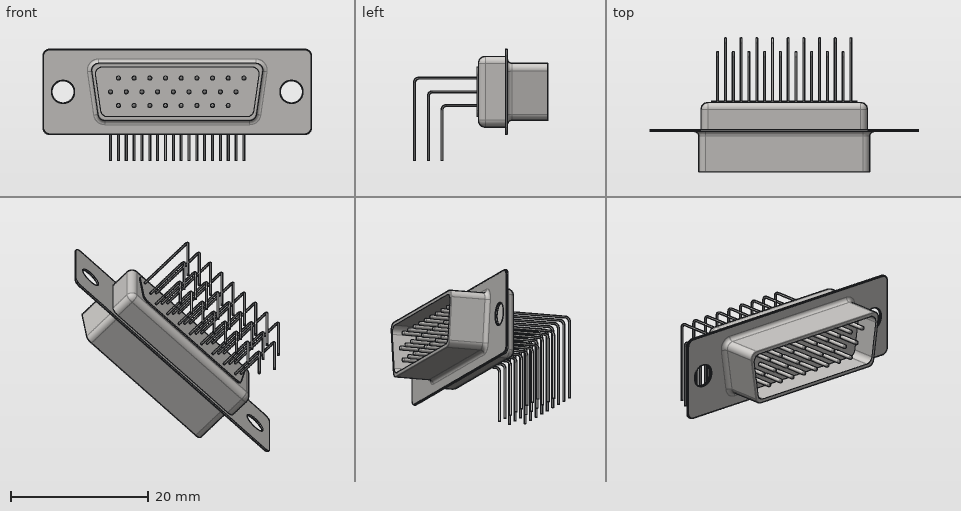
import cadquery as cq
import math


PLATE_WIDTH = 39.2
PLATE_HEIGHT = 12.45
PLATE_THICKNESS = 0.3
PLATE_CORNER_RADIUS = 1.0
PLATE_EDGE_BREAK = 0.098
HOLE_DIAMETER = 3.2
HOLE_SPACING = 33.32

SHELL_WIDTH = 24.97
SHELL_HEIGHT = 8.35
SHELL_LENGTH = 5.88
SHELL_SLANT = math.radians(8.2)
SHELL_CORNER_RADIUS = 1.0
SHELL_WALL = 0.55
CAVITY_DEPTH = 3.72
SHELL_RIM_ROUND = 0.08
SHELL_ROOT_RADIUS = 0.63

REAR_WIDTH = 24.3
REAR_HEIGHT = 10.35
REAR_LENGTH = 3.95
REAR_CORNER_RADIUS = 1.05
REAR_EDGE_RADIUS = 1.0
PAD_WIDTH = 21.25
PAD_HEIGHT = SHELL_HEIGHT - 2 * SHELL_WALL
PAD_THICKNESS = 0.2

CONTACTS_PER_LONG_ROW = 9
LONG_ROW_SPAN = 18.3
CONTACT_PITCH = LONG_ROW_SPAN / (CONTACTS_PER_LONG_ROW - 1)
ROW_PITCH = 2.0
CONTACT_DIAMETER = 0.6
CONTACT_TIP_ROUND = 0.2
CONTACT_TIP_Y = -5.55
TAIL_DIAMETER = 0.3
TAIL_BEND_RADIUS = 0.63
TAIL_BOTTOM_Z = -10.05
TOP_ROW_TAIL_Y = 13.55

REAR_BACK_Y = PLATE_THICKNESS + REAR_LENGTH
PAD_BACK_Y = REAR_BACK_Y + PAD_THICKNESS

LEFT_START_X = -LONG_ROW_SPAN / 2 - CONTACT_PITCH / 4
RIGHT_START_X = LEFT_START_X + CONTACT_PITCH / 2

CONTACT_ROWS = [
    (ROW_PITCH, RIGHT_START_X, CONTACTS_PER_LONG_ROW),
    (0.0, LEFT_START_X, CONTACTS_PER_LONG_ROW),
    (-ROW_PITCH, RIGHT_START_X, CONTACTS_PER_LONG_ROW - 1),
]


def front_plane(y):
    """Sketch plane at depth y, with local x along X, local y along Z, extruding toward -Y."""
    return cq.Workplane("XZ", origin=(0, y, 0))


def d_prism(width, height, y, length):
    """Prism running from y toward -Y; width is the overall width across the rounded top corners."""
    slant = SHELL_SLANT
    radius = SHELL_CORNER_RADIUS
    overhang = radius * ((1 + math.sin(slant)) / math.cos(slant) - 1)
    top_half = width / 2 + overhang
    bottom_half = top_half - height * math.tan(slant)
    outline = [
        (-top_half, height / 2),
        (top_half, height / 2),
        (bottom_half, -height / 2),
        (-bottom_half, -height / 2),
    ]
    return front_plane(y).polyline(outline).close().extrude(length).edges("|Y").fillet(radius)


def mounting_plate():
    """Flange with two screw holes; its outline and holes are chamfered on the front face."""
    plate = (
        front_plane(PLATE_THICKNESS)
        .rect(PLATE_WIDTH, PLATE_HEIGHT)
        .extrude(PLATE_THICKNESS)
        .edges("|Y")
        .fillet(PLATE_CORNER_RADIUS)
    )
    holes = (
        front_plane(PLATE_THICKNESS)
        .pushPoints([(-HOLE_SPACING / 2, 0), (HOLE_SPACING / 2, 0)])
        .circle(HOLE_DIAMETER / 2)
        .extrude(PLATE_THICKNESS)
    )
    return plate.cut(holes).faces("<Y").edges().chamfer(PLATE_EDGE_BREAK)


def rear_housing():
    """Rounded block behind the plate, with the D-shaped insulator pad on its back."""
    housing = (
        front_plane(REAR_BACK_Y)
        .rect(REAR_WIDTH, REAR_HEIGHT)
        .extrude(REAR_LENGTH)
        .edges("|Y")
        .fillet(REAR_CORNER_RADIUS)
        .faces(">Y")
        .edges()
        .fillet(REAR_EDGE_RADIUS)
    )
    pad = d_prism(PAD_WIDTH, PAD_HEIGHT, PAD_BACK_Y, PAD_THICKNESS)
    return housing.union(pad)


def root_edges(body):
    """Edges where the shell meets the front face of the plate."""
    margin = PLATE_EDGE_BREAK / 2
    reach = SHELL_WIDTH / 2 + SHELL_ROOT_RADIUS
    rise = SHELL_HEIGHT / 2 + SHELL_ROOT_RADIUS
    return body.edges(cq.selectors.BoxSelector((-reach, -margin, -rise), (reach, margin, rise)))


def shell_on(body):
    """Add the mating shell, blend it into the plate, and hollow it from the open front end."""
    shell = d_prism(SHELL_WIDTH, SHELL_HEIGHT, 0, SHELL_LENGTH)
    shell = shell.faces("<Y").edges().fillet(SHELL_RIM_ROUND)
    body = root_edges(body.union(shell)).fillet(SHELL_ROOT_RADIUS)
    cavity = d_prism(
        SHELL_WIDTH - 2 * SHELL_WALL,
        SHELL_HEIGHT - 2 * SHELL_WALL,
        CAVITY_DEPTH - SHELL_LENGTH,
        CAVITY_DEPTH,
    )
    return body.cut(cavity)


def contact(x, z):
    """Straight pin inside the shell with a rounded tip."""
    return (
        front_plane(PLATE_THICKNESS)
        .center(x, z)
        .circle(CONTACT_DIAMETER / 2)
        .extrude(PLATE_THICKNESS - CONTACT_TIP_Y)
        .faces("<Y")
        .edges()
        .fillet(CONTACT_TIP_ROUND)
    )


def tail(x, z, y):
    """Solder tail running back from the housing and bent down at depth y."""
    bend = TAIL_BEND_RADIUS
    diagonal = bend * math.sqrt(0.5)
    path = (
        cq.Workplane("YZ", origin=(x, 0, 0))
        .moveTo(REAR_BACK_Y, z)
        .lineTo(y - bend, z)
        .threePointArc((y - bend + diagonal, z - bend + diagonal), (y, z - bend))
        .lineTo(y, TAIL_BOTTOM_Z)
    )
    return front_plane(REAR_BACK_Y).center(x, z).circle(TAIL_DIAMETER / 2).sweep(path)


connector = shell_on(mounting_plate().union(rear_housing()))

for row, (row_z, start_x, count) in enumerate(CONTACT_ROWS):
    tail_y = TOP_ROW_TAIL_Y - row * ROW_PITCH
    for column in range(count):
        contact_x = start_x + column * CONTACT_PITCH
        connector = connector.union(contact(contact_x, row_z))
        connector = connector.union(tail(contact_x, row_z, tail_y))

result = connector